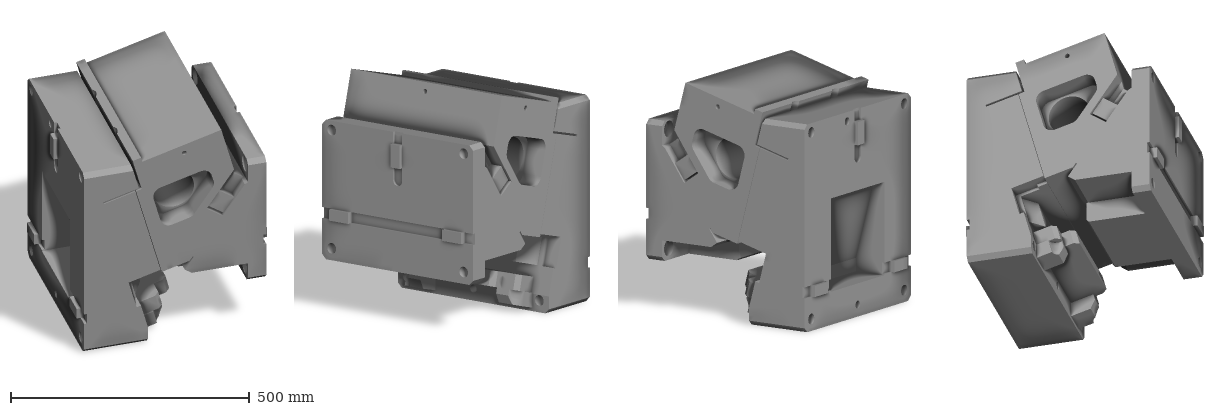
import cadquery as cq
import math

width = 400.0
half_width = width / 2
depth = 400.0
overall_height = 501.0
front_height = 445.5
rear_bottom = 110.0
rear_height = 300.5
rear_top = rear_bottom + rear_height
corner_chamfer = 10.0

block_tilt = 15.0
incline_tilt = 35.0
cut_clearance = 25.0

key_length = 50.0
key_width = 24.0
key_height = 9.0
slot_depth = 6.0
side_key_x = 150.0
top_key_drop = 25.0
upright_slot_length = 115.5
front_slot_z = 85.5
rear_slot_z = 209.5

mount_hole_dia = 23.0
mount_hole_x = 175.0
top_hole_drop = 20.0
bottom_hole_rise = 25.5
small_hole_dia = 17.0
small_top_hole_x = -40.0

foot_depth = 140.5
latch_face_n = 145.5
contact_n = 208.0
upper_face_n = 217.0
ledge_t = 346.0
step_t = 121.5
window_width = 200.0
window_bottom = 71.0
window_top = 271.0
window_bend_z = 100.0
window_depth = 71.0

stem_inset = 22.0
head_inset = 32.5
relief_width = 6.5
front_head_n = 187.0
front_pocket_n = 135.5
dovetail_bottom_t = 60.5
dovetail_inset = 42.5
dovetail_height = 24.5
dovetail_side_angle = 58.0

arm_top_t = 35.5
arm_bottom_t = 2.0
arm_half_width = 153.0
arm_end_n = 196.0
arm_chamfer = 10.0
arm_tongue_half_width = 110.0
arm_tongue_end_n = 226.0
tongue_chamfer = 10.5
tab_bottom_t = -29.0
tab_end_n = 196.0
tab_bite_radius = 24.0
tab_inner_x = 100.0
tab_outer_x = 156.5
tab_bevel_length = 14.5
tab_bevel_height = 17.5

block_front_n = 209.0
block_rear_n = 420.5
tilt_radians = math.radians(block_tilt)
block_top_t = (overall_height - block_rear_n * math.sin(tilt_radians)) / math.cos(tilt_radians)
lip_rise = 11.0
lip_front_n = 222.0
lip_back_n = 241.0
shoulder_t = 341.0
bore_n = 292.0
bore_t = 276.5
bore_radius = 45.0
side_pocket_depth = 47.5
side_pocket_left_n = 372.0
side_pocket_right_n = 239.5
side_pocket_low_t = 225.5
side_pocket_high_t = 326.0
side_pocket_slope_m = -24.0
side_pocket_fillet = 21.0
lift_hole_dia = 10.5
lift_hole_n = 330.5
lift_hole_t = 386.5
lift_hole_depth = 25.0
lip_notch_x = 75.0
lip_notch_width = 28.0
lip_notch_depth = 5.0
edge_relief_depth = 3.0
edge_relief_end_u = 298.0

plate_thickness = 40.0
rear_counterbore_dia = 35.0
rear_counterbore_depth = 15.0
incline_m = -85.0
incline_bottom_u = 263.5
incline_relief_length = 12.5
incline_relief_depth = 3.5
body_bottom = 156.5
nose_y = 233.0
flange_width = 200.0
flange_chamfer = 4.5
rear_head_m = -61.5
rear_pocket_m = -42.0
rear_pocket_bottom_u = 408.5
block_corner_u = 498.0
lug_bottom_u = 414.0
lug_top_u = 455.0
lug_side_gap = 5.0
lug_head_gap = 1.5


def tilted(n, t):
    """(Y, Z) of a point at n rearward and t upward in the frame leaning by block_tilt."""
    c = math.cos(math.radians(block_tilt))
    s = math.sin(math.radians(block_tilt))
    return (n * c - t * s, n * s + t * c)


def inclined(m, u):
    """(Y, Z) of a point at m off the rear incline and u upward along it."""
    c = math.cos(math.radians(incline_tilt))
    s = math.sin(math.radians(incline_tilt))
    return (u * s - m * c, u * c + m * s)


def prism(points, x_start=-half_width, x_end=half_width):
    """Solid with a (Y, Z) outline between two X positions."""
    sketch = cq.Workplane("YZ").workplane(offset=x_start)
    return sketch.polyline(points).close().extrude(x_end - x_start)


def tilted_box(n_start, n_end, t_start, t_end, x_start=-half_width, x_end=half_width):
    corners = [(n_start, t_start), (n_end, t_start), (n_end, t_end), (n_start, t_end)]
    return prism([tilted(n, t) for n, t in corners], x_start, x_end)


def inclined_box(m_start, m_end, u_start, u_end, x_start, x_end):
    corners = [(m_start, u_start), (m_end, u_start), (m_end, u_end), (m_start, u_end)]
    return prism([inclined(m, u) for m, u in corners], x_start, x_end)


def tilted_plane(n, t):
    """Plane square to the tilted t direction: local x is X, local y is n."""
    y, z = tilted(n, t)
    s = math.sin(math.radians(block_tilt))
    c = math.cos(math.radians(block_tilt))
    return cq.Plane(origin=(0, y, z), xDir=(1, 0, 0), normal=(0, -s, c))


def both_sides(solid):
    return [solid, solid.mirror("YZ")]


def point_on_tilted_at_y(n, y):
    """(Y, Z) where the tilted plane n meets a given Y."""
    lean = math.radians(block_tilt)
    return (y, (n - y * math.cos(lean)) / math.sin(lean))


def point_on_tilted_at_z(n, z):
    """(Y, Z) where the tilted plane n meets a given Z."""
    lean = math.radians(block_tilt)
    return ((n - z * math.sin(lean)) / math.cos(lean), z)


def incline_u_at_y(m, y):
    """u where the incline-parallel plane m meets a given Y."""
    lean = math.radians(incline_tilt)
    return (y + m * math.cos(lean)) / math.sin(lean)


def incline_n_at_t(m, t):
    """n where the incline-parallel plane m meets the tilted plane t."""
    between = math.radians(block_tilt + incline_tilt)
    return (t * math.sin(between) - m) / math.cos(between)


def incline_t_at_n(m, n):
    """t where the incline-parallel plane m meets the tilted plane n."""
    between = math.radians(block_tilt + incline_tilt)
    return (m + n * math.cos(between)) / math.sin(between)


def incline_end_t_at_n(u, n):
    """t where the plane u, square to the incline, meets the tilted plane n."""
    between = math.radians(block_tilt + incline_tilt)
    return (u - n * math.sin(between)) / math.cos(between)


def y_hole(x, z, dia, y_start, y_end):
    """Cylinder along Y."""
    sketch = cq.Workplane("XZ", origin=(0, y_start, 0))
    return sketch.center(x, z).circle(dia / 2).extrude(y_start - y_end)


def corner_bevel(edge_x, edge_z, y_start, y_end):
    """Square bar along Y, turned to bevel the edge it is centred on."""
    side = corner_chamfer * math.sqrt(2)
    bar = cq.Workplane("XZ", origin=(edge_x, y_start, edge_z)).transformed(rotate=(0, 0, 45))
    return bar.rect(side, side).extrude(y_start - y_end)


def add_keys(body, slot_z, top, face_y, outward):
    """Cut the two slots into a mounting face and stand three keys in them."""
    slot_y = face_y - outward * slot_depth / 2
    key_size_y = slot_depth + key_height
    key_y = face_y + outward * (key_height - slot_depth) / 2
    round_z = top - upright_slot_length + key_width / 2

    body = body.cut(cq.Workplane().box(width, slot_depth, key_width).translate((0, slot_y, slot_z)))
    upright = cq.Workplane().box(key_width, slot_depth, top - round_z)
    body = body.cut(upright.translate((0, slot_y, (top + round_z) / 2)))
    body = body.cut(y_hole(0, round_z, key_width, slot_y - slot_depth / 2, slot_y + slot_depth / 2))

    for x in (-side_key_x, side_key_x):
        key = cq.Workplane().box(key_length, key_size_y, key_width)
        body = body.union(key.translate((x, key_y, slot_z)))
    key = cq.Workplane().box(key_width, key_size_y, key_length)
    return body.union(key.translate((0, key_y, top - top_key_drop - key_length / 2)))


def make_window():
    """Opening in the front mounting face, with a back wall leaning forward above a bend."""
    top_depth = window_depth - (window_top - window_bend_z) * math.tan(math.radians(block_tilt))
    outline = [
        (0, window_bottom),
        (window_depth, window_bottom),
        (window_depth, window_bend_z),
        (top_depth, window_top),
        (0, window_top),
    ]
    return prism(outline, -window_width / 2, window_width / 2)


def make_front_reliefs():
    """Narrow side reliefs of the front housing's T-shaped pocket, on one side."""
    stem_x = -half_width + stem_inset
    head_x = -half_width + head_inset
    relief_top = step_t + relief_width
    relief = tilted_box(front_head_n, contact_n, shoulder_t, ledge_t, -half_width, stem_x)
    relief = relief.union(tilted_box(front_pocket_n, front_head_n, shoulder_t, ledge_t, -half_width, head_x))
    relief = relief.union(tilted_box(front_head_n, contact_n, step_t, relief_top, -half_width, stem_x))
    relief = relief.union(tilted_box(latch_face_n, front_head_n, step_t, relief_top, -half_width, head_x))
    return relief.union(
        tilted_box(front_pocket_n, latch_face_n, dovetail_bottom_t, relief_top, -half_width, head_x)
    )


def make_dovetail():
    """Bevelled bar on the latch face, under the step."""
    base = half_width - dovetail_inset
    tip = base - dovetail_height * math.tan(math.radians(dovetail_side_angle))
    sketch = cq.Workplane(tilted_plane(latch_face_n, dovetail_bottom_t))
    outline = [(-base, 0), (base, 0), (tip, dovetail_height), (-tip, dovetail_height)]
    return sketch.polyline(outline).close().extrude(step_t - dovetail_bottom_t)


def make_hinge_arm():
    """Wide arm behind the foot with a narrower tongue, both bevelled at their ends."""
    sketch = cq.Workplane(tilted_plane(0, arm_bottom_t))
    right_side = [
        (arm_half_width, latch_face_n - cut_clearance),
        (arm_half_width, arm_end_n - arm_chamfer),
        (arm_half_width - arm_chamfer, arm_end_n),
        (arm_tongue_half_width, arm_end_n),
        (arm_tongue_half_width, arm_tongue_end_n - tongue_chamfer),
        (arm_tongue_half_width - tongue_chamfer, arm_tongue_end_n),
    ]
    left_side = [(-x, n) for x, n in reversed(right_side)]
    return sketch.polyline(right_side + left_side).close().extrude(arm_top_t - arm_bottom_t)


def make_hinge_tab():
    """Tab below the arm on the -X side, with a round bite in its outer corner and a bevelled lower edge."""
    start_n = latch_face_n - cut_clearance
    tab = tilted_box(start_n, tab_end_n, tab_bottom_t, arm_bottom_t, -tab_outer_x, -tab_inner_x)
    bite = cq.Workplane(tilted_plane(tab_end_n, tab_bottom_t)).center(-tab_outer_x, 0).circle(tab_bite_radius)
    bevel = [
        tilted(tab_end_n - tab_bevel_length, tab_bottom_t),
        tilted(tab_end_n, tab_bottom_t),
        tilted(tab_end_n, tab_bottom_t + tab_bevel_height),
    ]
    return tab.cut(bite.extrude(arm_bottom_t - tab_bottom_t)).cut(prism(bevel))


def make_front_housing():
    outline = [
        (0, 0),
        (foot_depth, 0),
        point_on_tilted_at_y(latch_face_n, foot_depth),
        tilted(latch_face_n, step_t),
        tilted(contact_n, step_t),
        tilted(contact_n, ledge_t),
        tilted(upper_face_n, ledge_t),
        point_on_tilted_at_z(upper_face_n, front_height),
        (0, front_height),
    ]
    body = prism(outline)
    for edge_z in (0, front_height):
        for edge_x in (-half_width, half_width):
            body = body.cut(corner_bevel(edge_x, edge_z, 0, foot_depth))
    for relief in both_sides(make_front_reliefs()):
        body = body.cut(relief)
    body = body.union(make_dovetail()).union(make_hinge_arm())
    for tab in both_sides(make_hinge_tab()):
        body = body.union(tab)

    body = add_keys(body, front_slot_z, front_height, 0, -1)
    body = body.cut(make_window())
    top_hole_z = front_height - top_hole_drop
    for x in (-mount_hole_x, mount_hole_x):
        for z in (bottom_hole_rise, top_hole_z):
            body = body.cut(y_hole(x, z, mount_hole_dia, 0, depth))
    body = body.cut(y_hole(small_top_hole_x, top_hole_z, small_hole_dia, 0, depth))
    return body.cut(y_hole(0, bottom_hole_rise, small_hole_dia, 0, depth))


def make_side_pocket():
    """Rounded pocket around the bore, on the -X side."""
    left = side_pocket_left_n
    right = side_pocket_right_n
    low = side_pocket_low_t
    high = side_pocket_high_t
    slope_m = side_pocket_slope_m
    corners = [
        (right, high),
        (right, low),
        (incline_n_at_t(slope_m, low), low),
        (left, incline_t_at_n(slope_m, left)),
        (left, high),
    ]
    pocket = prism([tilted(n, t) for n, t in corners], -half_width, -half_width + side_pocket_depth)
    return pocket.edges("|X").fillet(side_pocket_fillet)


def make_rear_pocket():
    """T-shaped pocket for a lug of the rear housing, on the -X side."""
    stem_x = -half_width + stem_inset
    head_x = -half_width + head_inset
    top_u = block_corner_u + cut_clearance
    bottom_u = rear_pocket_bottom_u
    stem = inclined_box(incline_m - cut_clearance, rear_head_m, bottom_u, top_u, -half_width, stem_x)
    head = inclined_box(rear_head_m, rear_pocket_m, bottom_u, top_u, -half_width, head_x)
    return stem.union(head)


def make_middle_block():
    rear_foot_t = incline_end_t_at_n(block_corner_u, block_rear_n)
    lip_top_t = block_top_t + lip_rise
    relief_m = incline_m + edge_relief_depth
    outline = [
        tilted(block_front_n, step_t),
        tilted(incline_n_at_t(relief_m, step_t), step_t),
        inclined(relief_m, edge_relief_end_u),
        inclined(incline_m, edge_relief_end_u),
        inclined(incline_m, block_corner_u),
        tilted(block_rear_n, rear_foot_t),
        tilted(block_rear_n, block_top_t),
        tilted(lip_back_n, block_top_t),
        tilted(lip_back_n, lip_top_t),
        tilted(lip_front_n, lip_top_t),
        tilted(lip_front_n, shoulder_t),
        tilted(block_front_n, shoulder_t),
    ]
    block = prism(outline)
    for cutter in both_sides(make_side_pocket()) + both_sides(make_rear_pocket()):
        block = block.cut(cutter)

    bore_start = cq.Workplane("YZ").workplane(offset=-half_width)
    block = block.cut(bore_start.center(*tilted(bore_n, bore_t)).circle(bore_radius).extrude(width))

    side_hole = bore_start.center(*tilted(lift_hole_n, lift_hole_t)).circle(lift_hole_dia / 2)
    for hole in both_sides(side_hole.extrude(lift_hole_depth)):
        block = block.cut(hole)
    rear_y, rear_z = tilted(block_rear_n, lift_hole_t)
    inner_y, inner_z = tilted(block_rear_n - lift_hole_depth, lift_hole_t)
    inward = cq.Vector(0, inner_y - rear_y, inner_z - rear_z)
    rear_start = cq.Vector(0, rear_y, rear_z)
    block = block.cut(cq.Solid.makeCylinder(lift_hole_dia / 2, lift_hole_depth, rear_start, inward))

    notch_radius = (lip_notch_width ** 2 / 4 + lip_notch_depth ** 2) / (2 * lip_notch_depth)
    notch_n = lip_front_n + lip_notch_depth - notch_radius
    sketch = cq.Workplane(tilted_plane(notch_n, shoulder_t))
    notches = sketch.pushPoints([(-lip_notch_x, 0), (lip_notch_x, 0)]).circle(notch_radius)
    return block.cut(notches.extrude(lip_top_t - shoulder_t))


def make_lug():
    """T-shaped lug standing on the incline, on the -X side."""
    outer_x = -half_width + lug_side_gap
    stem_x = -half_width + stem_inset
    head_x = -half_width + head_inset
    head_m = rear_pocket_m - lug_head_gap
    stem = inclined_box(incline_m, rear_head_m, lug_bottom_u, lug_top_u, outer_x, stem_x)
    head = inclined_box(rear_head_m, head_m, lug_bottom_u, lug_top_u, outer_x, head_x)
    return stem.union(head)


def make_rear_housing():
    plate_y = depth - plate_thickness
    relief_m = incline_m - incline_relief_depth
    relief_u = incline_u_at_y(incline_m, plate_y) - incline_relief_length
    lean = math.radians(incline_tilt)
    tip_y, tip_z = inclined(incline_m, incline_bottom_u)
    undercut_y = tip_y + (tip_z - body_bottom) / math.tan(lean)
    outline = [
        (depth, rear_bottom),
        (depth, rear_top),
        (plate_y, rear_top),
        inclined(relief_m, incline_u_at_y(relief_m, plate_y)),
        inclined(incline_m, relief_u),
        (tip_y, tip_z),
        (undercut_y, body_bottom),
        (plate_y, body_bottom),
        (plate_y, rear_bottom),
    ]
    body = prism(outline)
    for edge_z in (rear_bottom, rear_top):
        for edge_x in (-half_width, half_width):
            body = body.cut(corner_bevel(edge_x, edge_z, plate_y, depth))
    flange = prism(
        [
            (plate_y, rear_bottom),
            (plate_y, body_bottom),
            (nose_y, body_bottom),
            (nose_y, rear_bottom + flange_chamfer),
            (nose_y + flange_chamfer, rear_bottom),
        ],
        -flange_width / 2,
        flange_width / 2,
    )
    body = body.union(flange)
    for lug in both_sides(make_lug()):
        body = body.union(lug)
    body = add_keys(body, rear_slot_z, rear_top, depth, 1)
    for x in (-mount_hole_x, mount_hole_x):
        for z in (rear_bottom + bottom_hole_rise, rear_top - top_hole_drop):
            body = body.cut(y_hole(x, z, mount_hole_dia, plate_y, depth))
            counterbore_end = plate_y + rear_counterbore_depth
            body = body.cut(y_hole(x, z, rear_counterbore_dia, plate_y, counterbore_end))
    return body


front_housing = make_front_housing()
middle_block = make_middle_block()
rear_housing = make_rear_housing()

result = cq.Compound.makeCompound([front_housing.val(), middle_block.val(), rear_housing.val()])